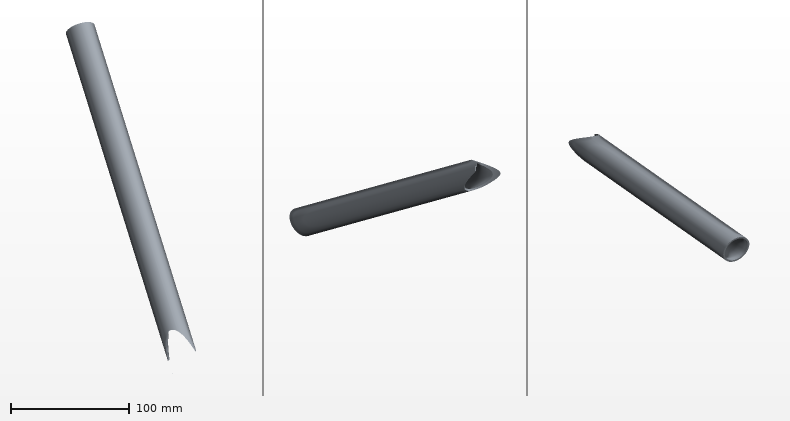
import cadquery as cq

TUBE_DIAMETER = 25.5
WALL = 1.5
AXIS_START = cq.Vector(0, 12.3, 208.5)
AXIS_DIRECTION = cq.Vector(1, 0.092, -0.8885).normalized()
TUBE_LENGTH = 296.2
OVERRUN = 45.5

RIM_LOW = cq.Vector(0.2, 0, 192.0)
RIM_HIGH = cq.Vector(9.3, 0, 217.0)

MOUTH_AXIS = cq.Vector(1.68, -0.81, 1).normalized()
MOUTH_NEAR_POINT = cq.Vector(215.6, 31.8, 18.2)
MOUTH_CENTRE_OFFSET = 21.3
MOUTH_SIDE_OFFSET = 0.2
MOUTH_HALF_LENGTH = 40.2
MOUTH_HALF_WIDTH = 13.2

MARKER_SIZE = 0.2
MARKER_END_X = 227.0
MARKER_Y = 22.2

CUTTER_SIZE = 181.5


def make_blank():
    """Straight hollow tube, longer than needed at the upper end."""
    start = AXIS_START - AXIS_DIRECTION * OVERRUN
    section = cq.Workplane(cq.Plane(start, normal=AXIS_DIRECTION))
    return (
        section.circle(TUBE_DIAMETER / 2)
        .circle(TUBE_DIAMETER / 2 - WALL)
        .extrude(TUBE_LENGTH + OVERRUN)
    )


def make_upper_cutter():
    """Block on the outer side of the flat upper end."""
    rim_direction = (RIM_HIGH - RIM_LOW).normalized()
    outward = rim_direction.cross(cq.Vector(0, 1, 0))
    plane = cq.Plane((RIM_LOW + RIM_HIGH) * 0.5, xDir=rim_direction, normal=outward)
    return cq.Workplane(plane).rect(CUTTER_SIZE, CUTTER_SIZE).extrude(CUTTER_SIZE)


def make_mouth_cutter():
    """Elliptical cylinder whose long axis points away from the tube."""
    along = AXIS_DIRECTION - MOUTH_AXIS * AXIS_DIRECTION.dot(MOUTH_AXIS)
    along = along.normalized()
    across = MOUTH_AXIS.cross(along)
    centre = MOUTH_NEAR_POINT + along * MOUTH_CENTRE_OFFSET + across * MOUTH_SIDE_OFFSET
    plane = cq.Plane(centre, xDir=along, normal=MOUTH_AXIS)
    ellipse = cq.Workplane(plane).ellipse(MOUTH_HALF_LENGTH, MOUTH_HALF_WIDTH)
    return ellipse.extrude(CUTTER_SIZE / 2, both=True)


def make_tube():
    return make_blank().cut(make_upper_cutter()).cut(make_mouth_cutter()).solids().val()


def make_marker():
    marker = cq.Workplane("XY").box(MARKER_SIZE, MARKER_SIZE, MARKER_SIZE)
    half = MARKER_SIZE / 2
    return marker.translate((MARKER_END_X - half, MARKER_Y, half)).val()


tube = make_tube()
marker = make_marker()
result = cq.Compound.makeCompound([tube, marker])